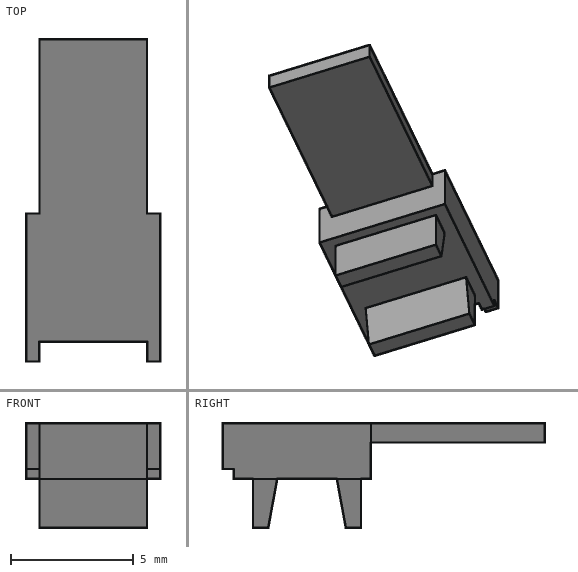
import cadquery as cq

total_length = 13.2
body_width = 5.5
total_height = 4.29

body_length = 6.07
body_height = 2.28
tongue_width = 4.41
tongue_thickness = 0.8

notch_depth = 0.8
step_length = 0.45
step_height = 0.4

leg_height = total_height - body_height
leg_root = 1.0
leg_tip = 0.63
front_leg_setback = 1.24
rear_leg_setback = 0.4


def block(width, y_start, y_end, z_bottom, z_top):
    """Box centred on X between the given Y and Z limits."""
    return cq.Workplane("XY").box(
        width, y_end - y_start, z_top - z_bottom, centered=(True, False, False)
    ).translate((0, y_start, z_bottom))


def leg(outer_y, inward):
    """Leg with a vertical outer face, tapering on the side facing inward (+1 or -1 in Y)."""
    profile = [
        (outer_y, -body_height),
        (outer_y + inward * leg_root, -body_height),
        (outer_y + inward * leg_tip, -body_height - leg_height),
        (outer_y, -body_height - leg_height),
    ]
    return cq.Workplane("YZ").polyline(profile).close().extrude(tongue_width / 2, both=True)


body = block(body_width, 0, body_length, -body_height, 0)
tongue = block(tongue_width, body_length, total_length, -tongue_thickness, 0)
notch = block(tongue_width, 0, notch_depth, -body_height, 0)
step = block(body_width, 0, step_length, -body_height, -body_height + step_height)

front_leg = leg(front_leg_setback, 1)
rear_leg = leg(body_length - rear_leg_setback, -1)

result = body.cut(notch).cut(step).union(tongue).union(front_leg).union(rear_leg)